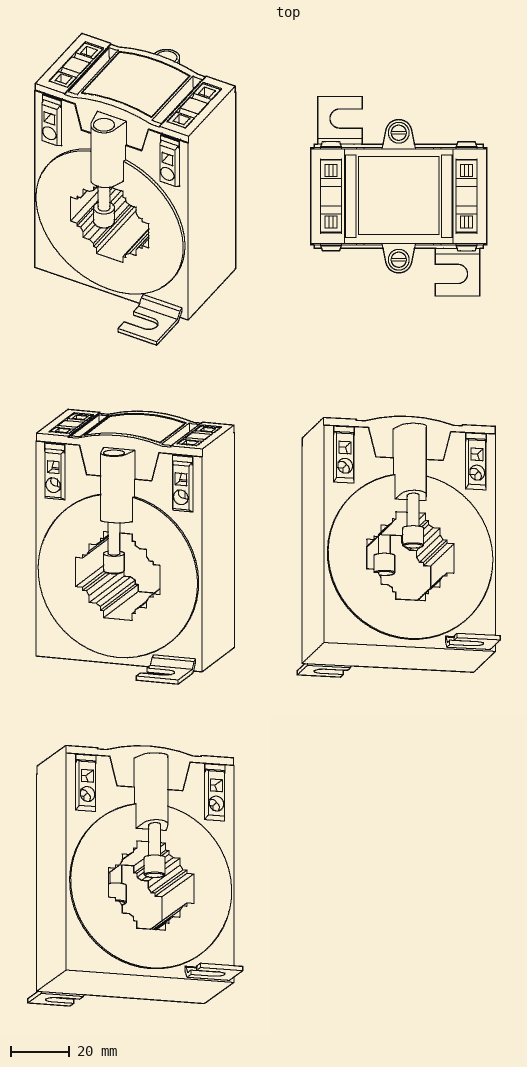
import cadquery as cq
import math

HOUSING_X = 60.0
HOUSING_Y = 33.05
LEDGE_Z = 75.95
FACE_Y = HOUSING_Y / 2
DISC_RADIUS = 28.8
DISC_Z = 31.45
DISC_RAISE = 1.2
BORE_RADIUS = 13.0
BORE_SQUARE = 20.65
WIDE_BAR = 30.5
WIDE_BAR_THICKNESS = 10.3
NARROW_BAR = 25.5
NARROW_BAR_THICKNESS = 12.6

TOP_Y = 32.25
TOP_FACE_Y = TOP_Y / 2
SHOULDER_Z = 78.7
DIP_Z = 78.3
CREST_Z = 80.6
DIP_OUTER_X = 18.55
ARCH_HALF_X = 15.5
CHANNEL_X = 16.4
CHANNEL_WIDTH = 3.55
CHANNEL_LENGTH = 28.2
CHANNEL_FLOOR_Z = 72.6
LABEL_X = 27.4
LABEL_Y = 26.45
LABEL_OFFSET_Y = 0.25
LABEL_SINK = 0.3
RECESS_TOP_HALF_X = 14.35
RECESS_BOTTOM_HALF_X = 11.8
RECESS_BOTTOM_Z = 65.8

TOWER_Y = 21.6
TOWER_RADIUS = 4.5
TOWER_DRAFT = 11.3
TOWER_FRONT_BOTTOM_Z = 52.6
TOWER_BACK_BOTTOM_Z = 50.8
TOWER_BORE_RADIUS = 3.55
TOWER_FLOOR_Z = 56.45
SHAFT_RADIUS = 2.0
HEAD_RADIUS = 2.6
HEAD_HEIGHT = 2.4
SLOT_WIDTH = 0.8
SLOT_DEPTH = 0.8
TIP_RADIUS = 3.55
TIP_TOP_Z = 40.4
TIP_BOTTOM_Z = 34.1
TIP_CHAMFER = 0.3

TERMINAL_X = 23.1
TERMINAL_WIDTH = 7.2
TERMINAL_BOTTOM_Z = 56.2
FLANGE_TOP_Z = 75.7
FLANGE_Y = 17.0
NOSE_BASE_TOP_Z = 74.0
NOSE_Y = 18.6
NOSE_WIDTH = 5.9
NOSE_BOTTOM_Z = 57.4
NOSE_TOP_Z = 72.9
WINDOW_SIZE = 4.2
WINDOW_BOTTOM_Z = 65.9
WINDOW_DEPTH = 4.8
WINDOW_SILL = 0.6
CLAMP_HOLE_Z = 61.6
CLAMP_HOLE_RADIUS = 2.6
CLAMP_HOLE_DEPTH = 4.8
CLAMP_FUNNEL_DEPTH = 2.4
CLAMP_SEAT_WIDTH = 2.0
CLAMP_SEAT_TOP_Z = 62.5
PAD_INNER_Y = 6.0
PAD_OUTER_Y = 12.25
PAD_TOP_Z = 78.4
PAD_GAP = 0.3
GROOVE_RADIUS = 1.3
GROOVE_Y = PAD_INNER_Y - GROOVE_RADIUS
SOCKET_Y = 8.8
SOCKET_SIZE = 4.2
SOCKET_STRAIGHT_DEPTH = 4.4
SOCKET_FUNNEL_DEPTH = 2.4
SOCKET_SEAT_WIDTH = 1.4

FOOT_MIN_X = 12.4
FOOT_WIDTH = 15.15
FEET_SPAN_Y = 68.0
FOOT_END_Y = FEET_SPAN_Y / 2
FOOT_THICKNESS = 1.5
FOOT_TOP_BEND_Y = 19.7
FOOT_BOTTOM_BEND_Y = 18.95
FOOT_LIP_Y = 17.8
FOOT_LIP_Z = 3.8
FOOT_TOP_Z = 4.4
FOOT_HEEL_Z = 2.8
FOOT_SLOT_Y = 26.45
FOOT_SLOT_RADIUS = 3.2
FOOT_SLOT_CENTER_X = 20.15


def block(x0, x1, y0, y1, z0, z1):
    """Box between two opposite corners."""
    return cq.Workplane("XY").box(x1 - x0, y1 - y0, z1 - z0, centered=False).translate((x0, y0, z0))


def along_y(outline, y0, y1):
    """Extrude an outline drawn on the XZ plane from y0 to y1."""
    return outline.extrude(y0 - y1).translate((0, y0, 0))


def turned(shape):
    """Copy turned half a turn about the vertical axis, onto the opposite face."""
    return shape.rotate((0, 0, 0), (0, 0, 1), 180)


def both_sides(shape):
    return shape.union(turned(shape))


def cylinder(radius, x, y, z0, z1):
    return cq.Workplane("XY", origin=(x, y, z0)).circle(radius).extrude(z1 - z0)


def clamp_hole():
    """Round hole in the -Y nose, narrowing at its end to a flat seat."""
    end_y = CLAMP_HOLE_DEPTH - NOSE_Y
    seat_y = end_y + CLAMP_FUNNEL_DEPTH
    hole = along_y(cq.Workplane("XZ").center(0, CLAMP_HOLE_Z).circle(CLAMP_HOLE_RADIUS), -NOSE_Y, end_y)
    bottom_z = CLAMP_HOLE_Z - CLAMP_HOLE_RADIUS
    seat_height = CLAMP_SEAT_TOP_Z - bottom_z
    side = 2 * CLAMP_HOLE_RADIUS
    funnel = (
        cq.Workplane("XZ", origin=(0, end_y, 0))
        .center(0, CLAMP_HOLE_Z)
        .rect(side, side)
        .workplane(offset=end_y - seat_y)
        .center(0, bottom_z + seat_height / 2 - CLAMP_HOLE_Z)
        .rect(CLAMP_SEAT_WIDTH, seat_height)
        .loft(ruled=True)
    )
    round_column = along_y(
        cq.Workplane("XZ").center(0, CLAMP_HOLE_Z).circle(CLAMP_HOLE_RADIUS), end_y, seat_y
    )
    return hole.union(funnel.intersect(round_column))


def window():
    """Square opening in the -Y nose with a level floor and a sloping back."""
    back_y = WINDOW_DEPTH - NOSE_Y
    sill_z = WINDOW_BOTTOM_Z + WINDOW_SILL
    top_z = WINDOW_BOTTOM_Z + WINDOW_SIZE
    outline = [
        (-NOSE_Y, WINDOW_BOTTOM_Z),
        (back_y, WINDOW_BOTTOM_Z),
        (back_y, sill_z),
        (back_y + top_z - sill_z, top_z),
        (-NOSE_Y, top_z),
    ]
    return cq.Workplane("YZ").polyline(outline).close().extrude(WINDOW_SIZE / 2, both=True)


def nose():
    """Bevelled front of a terminal on the -Y face."""
    base_height = NOSE_BASE_TOP_Z - TERMINAL_BOTTOM_Z
    front_height = NOSE_TOP_Z - NOSE_BOTTOM_Z
    base_z = TERMINAL_BOTTOM_Z + base_height / 2
    front_z = NOSE_BOTTOM_Z + front_height / 2
    return (
        cq.Workplane("XZ", origin=(0, -FACE_Y, base_z))
        .rect(TERMINAL_WIDTH, base_height)
        .workplane(offset=NOSE_Y - FACE_Y)
        .center(0, front_z - base_z)
        .rect(NOSE_WIDTH, front_height)
        .loft(ruled=True)
    )


def socket():
    """Square socket in the top pad, narrowing in X to a slit."""
    straight_z = PAD_TOP_Z - SOCKET_STRAIGHT_DEPTH
    seat_z = straight_z - SOCKET_FUNNEL_DEPTH
    half = SOCKET_SIZE / 2
    half_seat = SOCKET_SEAT_WIDTH / 2
    outline = [
        (-half, PAD_TOP_Z),
        (-half, straight_z),
        (-half_seat, seat_z),
        (half_seat, seat_z),
        (half, straight_z),
        (half, PAD_TOP_Z),
    ]
    return along_y(cq.Workplane("XZ").polyline(outline).close(), -SOCKET_Y - half, -SOCKET_Y + half)


def terminal_core(pad_outer_y, pad_top_z):
    """Plain block of a -Y terminal inside the housing, with the pad that rises to the top."""
    half = TERMINAL_WIDTH / 2
    core = block(-half, half, -FACE_Y, -PAD_INNER_Y, TERMINAL_BOTTOM_Z, LEDGE_Z)
    pad = block(-half, half, -pad_outer_y, -PAD_INNER_Y, LEDGE_Z, pad_top_z)
    return core.union(pad)


def build_terminal():
    """Terminal on the -Y face, centred at X = 0."""
    half = TERMINAL_WIDTH / 2
    flange = block(-half, half, -FLANGE_Y, -FACE_Y, NOSE_TOP_Z, FLANGE_TOP_Z)
    terminal = terminal_core(PAD_OUTER_Y, PAD_TOP_Z).union(nose()).union(flange)
    return terminal.cut(clamp_hole()).cut(window()).cut(socket())


def lower_block():
    """Block below the set-back top, with a shallow trapezoid recess at the top of each face."""
    body = block(-HOUSING_X / 2, HOUSING_X / 2, -FACE_Y, FACE_Y, 0, LEDGE_Z)
    outline = [
        (-RECESS_TOP_HALF_X, LEDGE_Z),
        (-RECESS_BOTTOM_HALF_X, RECESS_BOTTOM_Z),
        (RECESS_BOTTOM_HALF_X, RECESS_BOTTOM_Z),
        (RECESS_TOP_HALF_X, LEDGE_Z),
    ]
    recess = along_y(cq.Workplane("XZ").polyline(outline).close(), -FACE_Y, -TOP_FACE_Y)
    return body.cut(both_sides(recess))


def discs(depth):
    return cq.Workplane("XZ", origin=(0, 0, DISC_Z)).circle(DISC_RADIUS).extrude(depth, both=True)


def busbar_opening(depth):
    """Stepped opening: round bore, square and two pairs of crossed bars."""
    plane = cq.Workplane("XZ", origin=(0, 0, DISC_Z))
    opening = plane.circle(BORE_RADIUS).extrude(depth, both=True)
    rectangles = [
        (BORE_SQUARE, BORE_SQUARE),
        (WIDE_BAR, WIDE_BAR_THICKNESS),
        (WIDE_BAR_THICKNESS, WIDE_BAR),
        (NARROW_BAR, NARROW_BAR_THICKNESS),
        (NARROW_BAR_THICKNESS, NARROW_BAR),
    ]
    for width, height in rectangles:
        opening = opening.union(plane.rect(width, height).extrude(depth, both=True))
    return opening


def arch_radius():
    rise = CREST_Z - DIP_Z
    return (ARCH_HALF_X**2 + rise**2) / (2 * rise)


def arched_top():
    outline = (
        cq.Workplane("XZ")
        .moveTo(-HOUSING_X / 2, LEDGE_Z)
        .lineTo(-HOUSING_X / 2, SHOULDER_Z)
        .lineTo(-DIP_OUTER_X, SHOULDER_Z)
        .lineTo(-DIP_OUTER_X, DIP_Z)
        .lineTo(-ARCH_HALF_X, DIP_Z)
        .threePointArc((0, CREST_Z), (ARCH_HALF_X, DIP_Z))
        .lineTo(DIP_OUTER_X, DIP_Z)
        .lineTo(DIP_OUTER_X, SHOULDER_Z)
        .lineTo(HOUSING_X / 2, SHOULDER_Z)
        .lineTo(HOUSING_X / 2, LEDGE_Z)
        .close()
    )
    return along_y(outline, -TOP_FACE_Y, TOP_FACE_Y)


def label_recess():
    """Shallow recess whose curved floor runs parallel to the arch."""
    min_y = LABEL_OFFSET_Y - LABEL_Y / 2
    area = block(-LABEL_X / 2, LABEL_X / 2, min_y, min_y + LABEL_Y, LEDGE_Z, CREST_Z)
    below_floor = (
        cq.Workplane("XZ", origin=(0, 0, CREST_Z - arch_radius()))
        .circle(arch_radius() - LABEL_SINK)
        .extrude(LABEL_Y, both=True)
    )
    return area.cut(below_floor)


def channel():
    """Round-bottomed channel along Y."""
    half = CHANNEL_WIDTH / 2
    center_z = CHANNEL_FLOOR_Z + half
    outline = (
        cq.Workplane("XZ")
        .moveTo(-half, CREST_Z)
        .lineTo(-half, center_z)
        .threePointArc((0, CHANNEL_FLOOR_Z), (half, center_z))
        .lineTo(half, CREST_Z)
        .close()
    )
    return along_y(outline, -CHANNEL_LENGTH / 2, CHANNEL_LENGTH / 2)


def tower():
    """Screw tower on the -Y face: round front, drafted sides and a sloping bottom."""
    draft = math.radians(TOWER_DRAFT)
    tangent_x = TOWER_RADIUS * math.cos(draft)
    tangent_y = -TOWER_Y - TOWER_RADIUS * math.sin(draft)
    base_x = tangent_x + (-TOP_FACE_Y - tangent_y) * math.tan(draft)
    front_y = -TOWER_Y - TOWER_RADIUS
    column = (
        cq.Workplane("XY", origin=(0, 0, TOWER_BACK_BOTTOM_Z))
        .moveTo(-base_x, -TOP_FACE_Y)
        .lineTo(-tangent_x, tangent_y)
        .threePointArc((0, front_y), (tangent_x, tangent_y))
        .lineTo(base_x, -TOP_FACE_Y)
        .close()
        .extrude(LEDGE_Z - TOWER_BACK_BOTTOM_Z)
    )
    under = (
        cq.Workplane("YZ")
        .moveTo(front_y, TOWER_FRONT_BOTTOM_Z)
        .lineTo(-TOP_FACE_Y, TOWER_BACK_BOTTOM_Z)
        .lineTo(front_y, TOWER_BACK_BOTTOM_Z)
        .close()
        .extrude(base_x, both=True)
    )
    return column.cut(under)


def tower_bore():
    """Wide bore from the top of the tower with a shaft hole through its floor."""
    shaft_hole = cylinder(SHAFT_RADIUS, 0, -TOWER_Y, TOWER_BACK_BOTTOM_Z, TOWER_FLOOR_Z)
    bore = cylinder(TOWER_BORE_RADIUS, 0, -TOWER_Y, TOWER_FLOOR_Z, LEDGE_Z)
    return bore.union(shaft_hole)


def terminal_seats():
    """Pockets for the two -Y terminals."""
    seats = cq.Workplane("XY")
    for x in (-TERMINAL_X, TERMINAL_X):
        seats = seats.add(terminal_core(PAD_OUTER_Y + PAD_GAP, CREST_Z).translate((x, 0, 0)))
    return seats.combine()


def pad_bridge():
    """Sunken bridge between two facing terminal pads, with a round groove beside each pad."""
    half = TERMINAL_WIDTH / 2
    bridge = block(-half, half, -PAD_INNER_Y, PAD_INNER_Y, PAD_TOP_Z, CREST_Z)
    for y in (-GROOVE_Y, GROOVE_Y):
        groove = cq.Workplane("YZ").center(y, PAD_TOP_Z).circle(GROOVE_RADIUS).extrude(half, both=True)
        bridge = bridge.union(groove)
    return bridge


def build_housing():
    disc_y = FACE_Y + DISC_RAISE
    body = lower_block().union(arched_top()).union(discs(disc_y)).cut(busbar_opening(disc_y))
    body = body.union(both_sides(tower())).cut(both_sides(tower_bore()))
    body = body.cut(label_recess()).cut(both_sides(terminal_seats()))
    for side in (-1, 1):
        body = body.cut(channel().translate((side * CHANNEL_X, 0, 0)))
        body = body.cut(pad_bridge().translate((side * TERMINAL_X, 0, 0)))
    return body


def build_screw():
    """Slotted screw on the -Y side with a wide clamping tip at its lower end."""
    head_top_z = TOWER_FLOOR_Z + HEAD_HEIGHT
    tip = cylinder(TIP_RADIUS, 0, -TOWER_Y, TIP_BOTTOM_Z, TIP_TOP_Z).faces("<Z").chamfer(TIP_CHAMFER)
    shaft = cylinder(SHAFT_RADIUS, 0, -TOWER_Y, TIP_TOP_Z, TOWER_FLOOR_Z)
    head = cylinder(HEAD_RADIUS, 0, -TOWER_Y, TOWER_FLOOR_Z, head_top_z)
    slot = block(
        -HEAD_RADIUS, HEAD_RADIUS,
        -TOWER_Y - SLOT_WIDTH / 2, -TOWER_Y + SLOT_WIDTH / 2,
        head_top_z - SLOT_DEPTH, head_top_z,
    )
    return tip.union(shaft).union(head).cut(slot)


def build_foot():
    """Bent mounting foot on the -Y face with a slot open toward -X."""
    outline = [
        (-FACE_Y, FOOT_TOP_Z),
        (-FOOT_LIP_Y, FOOT_LIP_Z),
        (-FOOT_TOP_BEND_Y, FOOT_THICKNESS),
        (-FOOT_END_Y, FOOT_THICKNESS),
        (-FOOT_END_Y, 0),
        (-FOOT_BOTTOM_BEND_Y, 0),
        (-FACE_Y, FOOT_HEEL_Z),
    ]
    bent = cq.Workplane("YZ", origin=(FOOT_MIN_X, 0, 0)).polyline(outline).close().extrude(FOOT_WIDTH)
    slot_end = cylinder(FOOT_SLOT_RADIUS, FOOT_SLOT_CENTER_X, -FOOT_SLOT_Y, 0, FOOT_THICKNESS)
    slot = block(
        FOOT_MIN_X, FOOT_SLOT_CENTER_X,
        -FOOT_SLOT_Y - FOOT_SLOT_RADIUS, -FOOT_SLOT_Y + FOOT_SLOT_RADIUS,
        0, FOOT_THICKNESS,
    )
    return bent.cut(slot_end).cut(slot)


housing = build_housing()
terminals = []
for x in (-TERMINAL_X, TERMINAL_X):
    terminal = build_terminal().translate((x, 0, 0))
    terminals += [terminal, turned(terminal)]
screws = [build_screw(), turned(build_screw())]
feet = [build_foot(), turned(build_foot())]

bodies = [housing, *terminals, *screws, *feet]
result = cq.Compound.makeCompound([body.solids().val() for body in bodies])